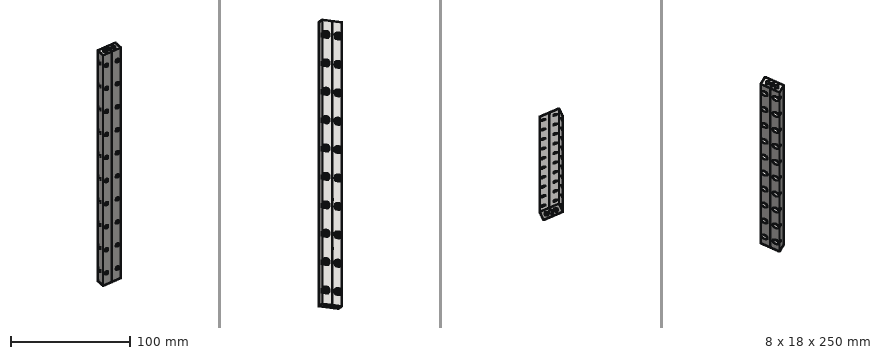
import cadquery as cq
import math

WIDTH = 8.0
TOTAL_DEPTH = 18.0
LENGTH = 250.0
RAIL_GAP = 0.5

GROOVE_WIDTH = 3.8
GROOVE_ANGLE = 90
RELIEF_WIDTH = 1.0
RELIEF_DEPTH = 0.5

HOLE_COUNT = 10
HOLE_PITCH = LENGTH / HOLE_COUNT
HOLE_EDGE_DISTANCE = 3.5
BORE_DIAMETER = 3.2
COUNTERBORE_DIAMETER = 6.0
COUNTERBORE_DEPTH = 3.2

END_HOLE_Y = 4.2
END_HOLE_DIAMETER = 3.0
END_HOLE_DEPTH = 5.0
END_HOLE_CHAMFER = 0.12
DRILL_POINT_ANGLE = 118

OUTER_X = WIDTH / 2
OUTER_Y = TOTAL_DEPTH / 2
INNER_Y = RAIL_GAP / 2
BOTTOM_Z = -LENGTH / 2


def rail_blank():
    """Full-length bar on the +Y side, with the V groove and relief in its inner face."""
    groove_x = GROOVE_WIDTH / 2
    relief_x = RELIEF_WIDTH / 2
    groove_depth = (groove_x - relief_x) / math.tan(math.radians(GROOVE_ANGLE / 2))
    relief_start_y = INNER_Y + groove_depth
    relief_end_y = relief_start_y + RELIEF_DEPTH
    outline = [
        (-OUTER_X, OUTER_Y),
        (-OUTER_X, INNER_Y),
        (-groove_x, INNER_Y),
        (-relief_x, relief_start_y),
        (-relief_x, relief_end_y),
        (relief_x, relief_end_y),
        (relief_x, relief_start_y),
        (groove_x, INNER_Y),
        (OUTER_X, INNER_Y),
        (OUTER_X, OUTER_Y),
    ]
    profile = cq.Workplane("XY", origin=(0, 0, BOTTOM_Z)).polyline(outline).close()
    return profile.extrude(LENGTH)


def cut_mounting_holes(rail):
    """Cut the row of mounting holes, counterbored from the -X face."""
    hole_y = OUTER_Y - HOLE_EDGE_DISTANCE
    first_z = BOTTOM_Z + HOLE_PITCH / 2
    centers = [(hole_y, first_z + i * HOLE_PITCH) for i in range(HOLE_COUNT)]
    layout = cq.Workplane("YZ", origin=(-OUTER_X, 0, 0)).pushPoints(centers)
    bores = layout.circle(BORE_DIAMETER / 2).extrude(WIDTH)
    counterbores = layout.circle(COUNTERBORE_DIAMETER / 2).extrude(COUNTERBORE_DEPTH)
    return rail.cut(bores).cut(counterbores)


def cut_end_holes(rail):
    """Cut the blind hole into the top end and its mirror image into the bottom end."""
    radius = END_HOLE_DIAMETER / 2
    point_depth = radius / math.tan(math.radians(DRILL_POINT_ANGLE / 2))
    half_section = [
        (0, 0),
        (radius + END_HOLE_CHAMFER, 0),
        (radius, -END_HOLE_CHAMFER),
        (radius, -END_HOLE_DEPTH),
        (0, -END_HOLE_DEPTH - point_depth),
    ]
    plane = cq.Workplane("XZ", origin=(0, END_HOLE_Y, LENGTH / 2))
    top_hole = plane.polyline(half_section).close().revolve(360, (0, 0, 0), (0, 1, 0))
    bottom_hole = top_hole.mirror("XY")
    return rail.cut(top_hole).cut(bottom_hole)


def make_rail():
    """One complete rail, on the +Y side of the gap."""
    return cut_end_holes(cut_mounting_holes(rail_blank()))


back_rail = make_rail()
front_rail = back_rail.mirror("XZ")

result = cq.Compound.makeCompound([back_rail.val(), front_rail.val()])